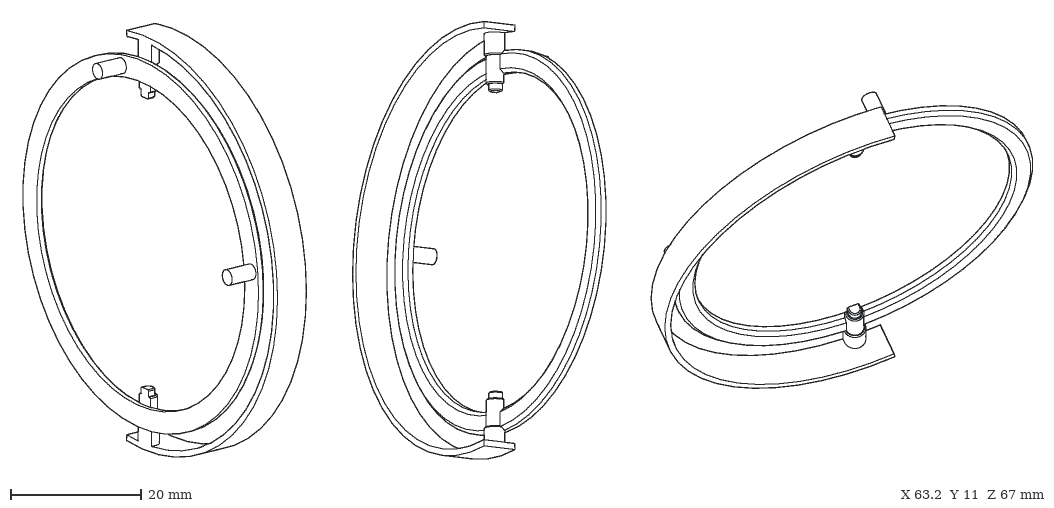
import cadquery as cq
import math


ring_outer_radius = 29.75
ring_inner_radius = 26.25
ring_rear_depth = 4.9
ring_front_depth = 6.4
ring_rear_chamfer = 0.6

band_outer_radius = 33.5
band_thickness = 1.0
band_inner_radius = band_outer_radius - band_thickness
band_width = 5.6
band_overrun_angle = 8.0

pin_radius = 1.25
pin_root_depth = ring_rear_depth + ring_rear_chamfer
pin_tip_depth = 11.0
pin_circle_radius = (ring_outer_radius + ring_inner_radius) / 2
pin_angles = (6.0, 100.0)

post_axis_depth = ring_rear_depth
post_front_depth = band_width
post_root_distance = (band_inner_radius + band_outer_radius) / 2
post_steps = ((1.7, 29.0), (1.4, 24.6), (1.0, 23.5))
post_end_chamfer = 0.2


def disc(radius, rear_depth, front_depth):
    """Cylinder about the Y axis between two depths."""
    plane = cq.Workplane("XZ", origin=(0, -rear_depth, 0))
    return plane.circle(radius).extrude(front_depth - rear_depth)


def make_ring():
    ring = disc(ring_outer_radius, ring_rear_depth, ring_front_depth)
    ring = ring.cut(disc(ring_inner_radius, ring_rear_depth, ring_front_depth))
    return ring.faces(">Y").edges().chamfer(ring_rear_chamfer)


def make_band():
    overrun = math.radians(band_overrun_angle)

    def end_point(radius, side):
        return (-radius * math.sin(overrun), side * radius * math.cos(overrun))

    return (
        cq.Workplane("XZ")
        .moveTo(*end_point(band_outer_radius, 1))
        .threePointArc((band_outer_radius, 0), end_point(band_outer_radius, -1))
        .lineTo(*end_point(band_inner_radius, -1))
        .threePointArc((band_inner_radius, 0), end_point(band_inner_radius, 1))
        .close()
        .extrude(band_width)
    )


def make_pin(angle):
    x = pin_circle_radius * math.cos(math.radians(angle))
    z = pin_circle_radius * math.sin(math.radians(angle))
    return disc(pin_radius, pin_root_depth, pin_tip_depth).translate((x, 0, z))


def make_post_step(radius, inner_distance):
    length = post_root_distance - inner_distance
    plane = cq.Workplane("XY", origin=(0, -post_axis_depth, inner_distance))
    front = post_axis_depth - post_front_depth
    step = (
        plane.moveTo(-radius, front)
        .lineTo(-radius, 0)
        .threePointArc((0, radius), (radius, 0))
        .lineTo(radius, front)
        .close()
        .extrude(length)
    )
    return step.faces("<Z").edges("not <Y").chamfer(post_end_chamfer)


def make_post():
    """Stepped post on the +Z side, getting thinner towards the centre."""
    post = make_post_step(*post_steps[0])
    for radius, inner_distance in post_steps[1:]:
        post = post.union(make_post_step(radius, inner_distance))
    return post


upper_post = make_post()
result = make_ring().union(make_band())
result = result.union(upper_post).union(upper_post.mirror("XY"))
for pin_angle in pin_angles:
    result = result.union(make_pin(pin_angle))